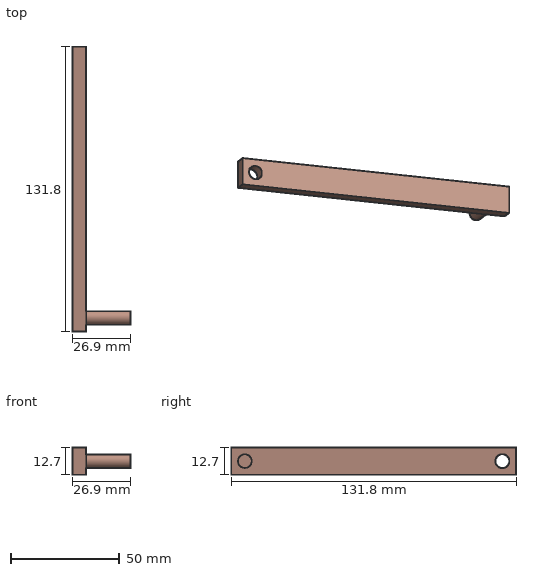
import cadquery as cq

bar_thickness = 6.35
bar_length = 131.83
bar_height = 12.7

overall_width = 26.92
pin_diameter = 6.35
pin_length = overall_width - bar_thickness
hole_diameter = 6.35
end_distance = bar_height / 2
pin_y = end_distance
hole_y = bar_length - end_distance
axis_z = bar_height / 2


def make_bar():
    return cq.Workplane("XY").box(bar_thickness, bar_length, bar_height, centered=False)


def x_cylinder(diameter, start_x, length, center_y):
    """Cylinder along +X at mid height of the bar."""
    return (
        cq.Workplane("YZ", origin=(start_x, center_y, axis_z))
        .circle(diameter / 2)
        .extrude(length)
    )


pin = x_cylinder(pin_diameter, bar_thickness, pin_length, pin_y)
pivot_hole = x_cylinder(hole_diameter, 0, bar_thickness, hole_y)

result = make_bar().union(pin).cut(pivot_hole)